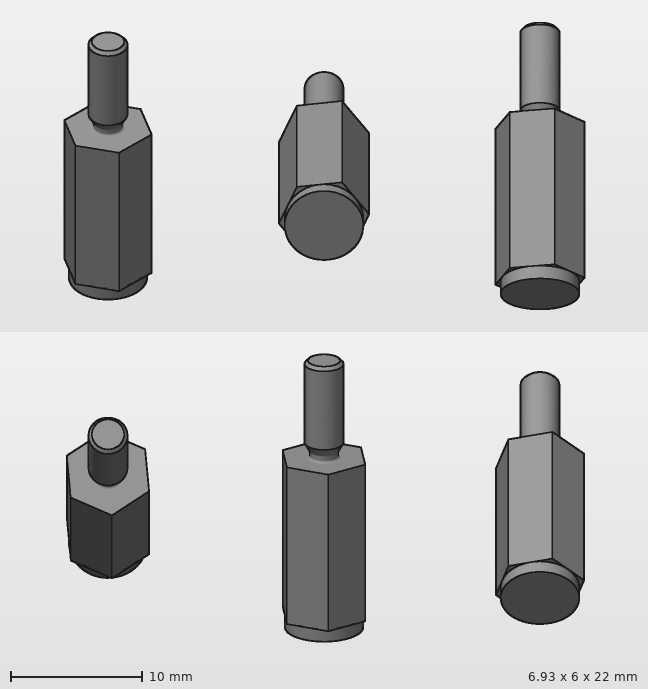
import cadquery as cq
import math

total_height = 22.0
across_flats = 6.0
across_corners = across_flats / math.cos(math.pi / 6)

foot_height = 1.05
foot_diameter = across_flats

body_top = 14.0
stud_diameter = 3.0
tip_diameter = 2.46
tip_chamfer_height = 0.29

neck_diameter = 2.2
neck_fillet = 0.2
neck_top = 14.55
taper_angle = math.radians(30)


def make_foot():
    return cq.Workplane("XY").circle(foot_diameter / 2).extrude(foot_height)


def make_body():
    """Hexagonal prism with two corners on the X axis."""
    return (
        cq.Workplane("XY")
        .workplane(offset=foot_height)
        .polygon(6, across_corners)
        .extrude(body_top - foot_height)
    )


def make_stud():
    """Revolve the half profile of the neck, taper, shank and chamfered tip."""
    neck_radius = neck_diameter / 2
    stud_radius = stud_diameter / 2
    taper_top = neck_top + (stud_radius - neck_radius) / math.tan(taper_angle)
    tangent_length = neck_fillet * math.tan(taper_angle / 2)
    rounding_end = (
        neck_radius + tangent_length * math.sin(taper_angle),
        neck_top + tangent_length * math.cos(taper_angle),
    )
    return (
        cq.Workplane("XZ")
        .moveTo(0, body_top)
        .lineTo(neck_radius + neck_fillet, body_top)
        .radiusArc((neck_radius, body_top + neck_fillet), neck_fillet)
        .lineTo(neck_radius, neck_top - tangent_length)
        .radiusArc(rounding_end, neck_fillet)
        .lineTo(stud_radius, taper_top)
        .lineTo(stud_radius, total_height - tip_chamfer_height)
        .lineTo(tip_diameter / 2, total_height)
        .lineTo(0, total_height)
        .close()
        .revolve(360, (0, 0, 0), (0, 1, 0))
    )


result = make_foot().union(make_body()).union(make_stud())